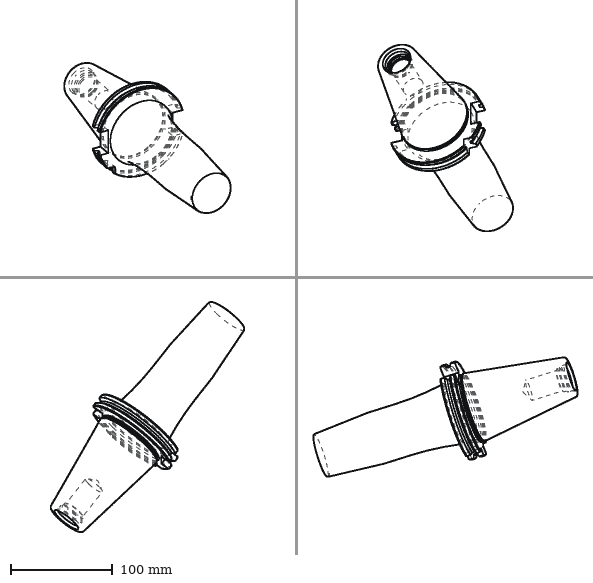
import cadquery as cq
import math

length = 261.5
gauge_x = 101.5
neck_start_x = 102.3
neck_end_x = 103.5
flange_front_x = 105.2
flange_back_x = 120.5
blend_x = 127.0
cylinder_start_x = 175.3
cylinder_end_x = 204.3

gauge_radius = 35.0
taper_slope = 7 / 48
small_radius = gauge_radius - gauge_x * taper_slope
taper_end_round = 2.4
neck_radius = 34.0
neck_root_radius = 34.8

flange_radius = 48.7
flange_chamfer_length = 1.0
flange_chamfer_depth = 0.5
groove_center_x = 112.7
groove_floor_radius = 45.5
groove_width = 5.8
groove_half_angle = math.radians(30)
groove_edge_chamfer = 0.3

blend_radius = 30.5
shank_root_radius = 35.0
cylinder_radius = 26.5
tip_radius = 22.2
tip_chamfer_length = 1.3
tip_chamfer_depth = 0.5

slot_width = 25.6
slot_floor_plus_y = 35.0
slot_floor_minus_y = 37.7
notch_inset = 29.8
notch_corner_radius = 1.3

mouth_radius = 14.6
mouth_depth = 3.1
counterbore_radius = 13.3
counterbore_depth = 7.8
pilot_radius = 11.8
pilot_depth = 11.8
bore_radius = 10.5
bore_depth = 44.5
step_chamfer = 0.8
drill_half_angle = math.radians(59)


def revolve_about_x(profile):
    """Close a radius-over-X profile and spin it a full turn about the X axis."""
    return profile.close().revolve(360, (0, 0, 0), (1, 0, 0))


def make_taper():
    """Locating taper with its rounded small end."""
    profile = (
        cq.Workplane("XY")
        .lineTo(0, small_radius)
        .lineTo(gauge_x, gauge_radius)
        .lineTo(neck_start_x, neck_radius)
        .lineTo(neck_end_x, neck_radius)
        .lineTo(flange_front_x, neck_root_radius)
        .lineTo(flange_front_x, 0)
    )
    return revolve_about_x(profile).faces("<X").edges().fillet(taper_end_round)


def make_shank():
    """Flared shank, parallel length and tapered tip, drawn from the tip inward."""
    profile = (
        cq.Workplane("XY")
        .moveTo(length, 0)
        .lineTo(length, tip_radius - tip_chamfer_depth)
        .lineTo(length - tip_chamfer_length, tip_radius)
        .lineTo(cylinder_end_x, cylinder_radius)
        .lineTo(cylinder_start_x, cylinder_radius)
        .tangentArcPoint((blend_x, blend_radius), relative=False)
        .tangentArcPoint((flange_back_x, shank_root_radius), relative=False)
        .lineTo(flange_back_x, 0)
    )
    return revolve_about_x(profile)


def make_flange():
    """Grooved flange disc before the slots are cut."""
    wall_slope = math.tan(groove_half_angle)
    wall_top = flange_radius - groove_edge_chamfer
    half_top = groove_width / 2
    half_floor = half_top - (wall_top - groove_floor_radius) * wall_slope
    half_edge = half_top + groove_edge_chamfer
    shoulder_radius = flange_radius - flange_chamfer_depth
    profile = (
        cq.Workplane("XY")
        .moveTo(flange_front_x, 0)
        .lineTo(flange_front_x, shoulder_radius)
        .lineTo(flange_front_x + flange_chamfer_length, flange_radius)
        .lineTo(groove_center_x - half_edge, flange_radius)
        .lineTo(groove_center_x - half_top, wall_top)
        .lineTo(groove_center_x - half_floor, groove_floor_radius)
        .lineTo(groove_center_x + half_floor, groove_floor_radius)
        .lineTo(groove_center_x + half_top, wall_top)
        .lineTo(groove_center_x + half_edge, flange_radius)
        .lineTo(flange_back_x - flange_chamfer_length, flange_radius)
        .lineTo(flange_back_x, shoulder_radius)
        .lineTo(flange_back_x, 0)
    )
    return revolve_about_x(profile)


def make_drive_slot(side, floor):
    """Cutter for the drive slot on the +Y (side = 1) or -Y (side = -1) rim."""
    thickness = flange_back_x - flange_front_x
    return (
        cq.Workplane("XY")
        .box(thickness, flange_radius, slot_width, centered=(False, True, True))
        .translate((flange_front_x, side * (floor + flange_radius / 2), 0))
    )


def make_orientation_notch():
    """Cutter for the rim notch in the -Y, -Z quadrant, with a rounded inner corner."""
    thickness = flange_back_x - flange_front_x
    return (
        cq.Workplane("XY")
        .box(thickness, flange_radius, flange_radius, centered=False)
        .translate((flange_front_x, -notch_inset - flange_radius, -notch_inset - flange_radius))
        .edges("|X and >Y and >Z")
        .fillet(notch_corner_radius)
    )


def make_bore():
    """Cutter for the stepped blind bore with a conical drill tip."""
    profile = (
        cq.Workplane("XY")
        .lineTo(0, mouth_radius)
        .lineTo(mouth_depth, counterbore_radius)
        .lineTo(counterbore_depth, counterbore_radius)
        .lineTo(counterbore_depth + step_chamfer, pilot_radius)
        .lineTo(pilot_depth, pilot_radius)
        .lineTo(pilot_depth + step_chamfer, bore_radius)
        .lineTo(bore_depth, bore_radius)
        .lineTo(bore_depth + bore_radius / math.tan(drill_half_angle), 0)
    )
    return revolve_about_x(profile)


flange = (
    make_flange()
    .cut(make_drive_slot(1, slot_floor_plus_y))
    .cut(make_drive_slot(-1, slot_floor_minus_y))
    .cut(make_orientation_notch())
)
result = make_taper().union(flange).union(make_shank()).cut(make_bore())